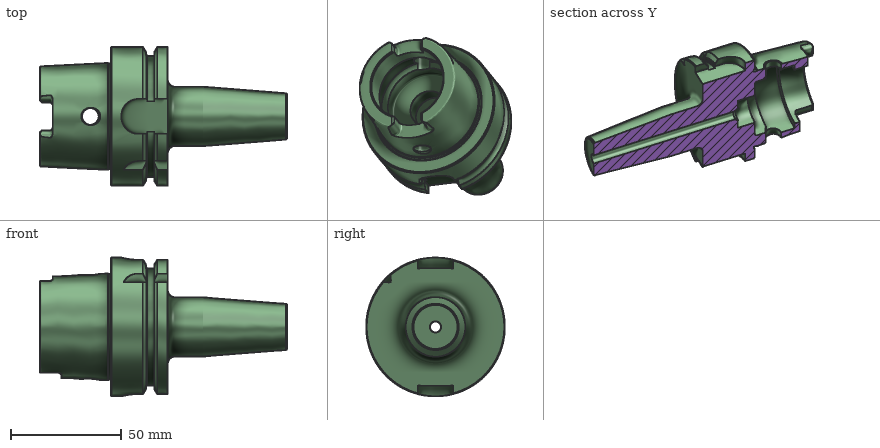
import cadquery as cq
import math


length = 112.0
flange_front = 32.0
flange_back = 58.0
taper_end = 29.8
nose_taper_start = 73.9

taper_front_r = 22.7
taper_slope = 0.05
taper_edge_fillet = 0.9
neck_r = 48.0 / 2
collar_end = 30.7
neck_start = 31.1
relief_depth = 0.6
relief_floor_r = 25.0
relief_mouth_r = 25.5

flange_r = 63.0 / 2
flange_front_chamfer = 0.6
flange_back_chamfer = 0.3
groove_center = 50.0
groove_mouth_half = 3.2
groove_floor_half = 1.8
groove_slope_r = 29.1
groove_floor_r = 27.4
groove_corner = 0.6

nose_r = 27.0 / 2
nose_fillet = 3.0
nose_taper_angle = 4.5
nose_tip_chamfer = 0.6

bore_r = 34.0 / 2
bore_mouth_chamfer = 0.6
bore_floor_fillet = 1.2
undercut_r = 40.0 / 2
undercut_start = 12.3
undercut_end = 25.2
bore_depth = 32.0
pilot_r = 16.9 / 2
pilot_end = 40.3
countersink_r = 8.0 / 2
through_r = 4.9 / 2

drive_half_width = 6.3
drive_round = 3.0
drive_shoulder_z = 20.8
drive_corner_r = 1.3
drive_edge_chamfer = 1.0
drive_depth_top = 5.8
drive_depth_bottom = 9.7

cross_x = 22.8
cross_r = 7.5 / 2
cross_chamfer = 0.6

key_center_x = 44.8
key_r = 8.0
key_floor_z = 26.5
notch_offset = 20.2


def upside_down(solid):
    return solid.mirror("XY")


def make_body():
    taper_end_r = taper_front_r + taper_slope * taper_end
    nose_tip_r = nose_r - (length - nose_taper_start) * math.tan(math.radians(nose_taper_angle))
    fillet_mid = nose_fillet * (1 - math.sqrt(0.5))
    relief_x = flange_front + relief_depth
    profile = (
        cq.Workplane("XY")
        .moveTo(0, 0)
        .lineTo(0, taper_front_r)
        .lineTo(taper_end, taper_end_r)
        .lineTo(collar_end, taper_end_r)
        .lineTo(neck_start, neck_r)
        .lineTo(relief_x, neck_r)
        .lineTo(relief_x, relief_floor_r)
        .lineTo(flange_front, relief_mouth_r)
        .lineTo(flange_front, flange_r - flange_front_chamfer)
        .lineTo(flange_front + flange_front_chamfer, flange_r)
        .lineTo(flange_back - flange_back_chamfer, flange_r)
        .lineTo(flange_back, flange_r - flange_back_chamfer)
        .lineTo(flange_back, nose_r + nose_fillet)
        .threePointArc(
            (flange_back + fillet_mid, nose_r + fillet_mid),
            (flange_back + nose_fillet, nose_r),
        )
        .lineTo(nose_taper_start, nose_r)
        .lineTo(length, nose_tip_r)
        .lineTo(length, 0)
        .close()
    )
    body = profile.revolve(360, (0, 0, 0), (1, 0, 0))
    body = body.faces("<X").edges().fillet(taper_edge_fillet)
    return body.faces(">X").edges().chamfer(nose_tip_chamfer)


def make_grip_groove():
    front = groove_center - groove_floor_half
    back = groove_center + groove_floor_half
    outside_r = flange_r + 1.1
    return (
        cq.Workplane("XY")
        .polyline([
            (groove_center - groove_mouth_half, outside_r),
            (groove_center - groove_mouth_half, flange_r),
            (front, groove_slope_r),
            (front, groove_floor_r + groove_corner),
            (front + groove_corner, groove_floor_r),
            (back, groove_floor_r),
            (back, groove_slope_r),
            (groove_center + groove_mouth_half, flange_r),
            (groove_center + groove_mouth_half, outside_r),
        ])
        .close()
        .revolve(360, (0, 0, 0), (1, 0, 0))
    )


def make_bore():
    fillet_mid = bore_floor_fillet * (1 - math.sqrt(0.5))
    countersink_depth = countersink_r - through_r
    profile = (
        cq.Workplane("XY")
        .moveTo(0, 0)
        .lineTo(0, bore_r + bore_mouth_chamfer)
        .lineTo(bore_mouth_chamfer, bore_r)
        .lineTo(undercut_start, bore_r)
        .lineTo(undercut_start, undercut_r)
        .lineTo(undercut_end, undercut_r)
        .lineTo(undercut_end, bore_r)
        .lineTo(bore_depth - bore_floor_fillet, bore_r)
        .threePointArc(
            (bore_depth - fillet_mid, bore_r - fillet_mid),
            (bore_depth, bore_r - bore_floor_fillet),
        )
        .lineTo(bore_depth, pilot_r)
        .lineTo(pilot_end, pilot_r)
        .lineTo(pilot_end, countersink_r)
        .lineTo(pilot_end + countersink_depth, through_r)
        .lineTo(length, through_r)
        .lineTo(length, 0)
        .close()
    )
    return profile.revolve(360, (0, 0, 0), (1, 0, 0))


def make_drive_slot(depth):
    """Slot open toward -X and +Z; its walls roll outward onto a flat shoulder."""
    round_mid = drive_round * (1 - math.sqrt(0.5))
    round_start_z = drive_shoulder_z - drive_round
    open_y = flange_r
    open_z = flange_r
    slot = (
        cq.Workplane("YZ")
        .moveTo(-drive_half_width, 0)
        .lineTo(drive_half_width, 0)
        .lineTo(drive_half_width, round_start_z)
        .threePointArc(
            (drive_half_width + round_mid, drive_shoulder_z - round_mid),
            (drive_half_width + drive_round, drive_shoulder_z),
        )
        .lineTo(open_y, drive_shoulder_z)
        .lineTo(open_y, open_z)
        .lineTo(-open_y, open_z)
        .lineTo(-open_y, drive_shoulder_z)
        .lineTo(-drive_half_width - drive_round, drive_shoulder_z)
        .threePointArc(
            (-drive_half_width - round_mid, drive_shoulder_z - round_mid),
            (-drive_half_width, round_start_z),
        )
        .close()
        .extrude(depth)
        .faces(">X").edges().fillet(drive_corner_r)
    )
    chamfer_y = drive_half_width + drive_edge_chamfer
    edge_chamfer = (
        cq.Workplane("XY")
        .polyline([
            (0, -chamfer_y),
            (drive_edge_chamfer, -drive_half_width),
            (drive_edge_chamfer, drive_half_width),
            (0, chamfer_y),
        ])
        .close()
        .extrude(drive_shoulder_z)
    )
    return slot.union(edge_chamfer)


def make_cross_hole():
    """Hole along Z with a chamfered edge where it leaves the taper on both sides."""
    surface_z = taper_front_r + taper_slope * cross_x
    cone_height = 2 * cross_chamfer
    flare = (
        cq.Workplane(cq.Plane((cross_x, 0, surface_z - cross_chamfer), xDir=(0, 1, 0), normal=(0, 0, 1)))
        .circle(cross_r)
        .workplane(offset=cone_height)
        .circle(cross_r + cone_height)
        .loft()
    )
    hole = cq.Workplane("XY", origin=(cross_x, 0, 0)).circle(cross_r).extrude(surface_z, both=True)
    return hole.union(flare).union(upside_down(flare))


def make_round_end_pocket(center_y, floor_z):
    """Pocket open toward +Z and +X with a half-round end toward -X."""
    height = flange_r - floor_z + 1.1
    run = flange_back - key_center_x + nose_fillet
    base = cq.Workplane("XY", origin=(key_center_x, center_y, floor_z))
    straight = base.center(run / 2, 0).rect(run, 2 * key_r).extrude(height)
    return base.circle(key_r).extrude(height).union(straight)


keyway = make_round_end_pocket(0, key_floor_z)
corner_notch = make_round_end_pocket(-notch_offset - key_r, notch_offset)

result = (
    make_body()
    .cut(make_grip_groove())
    .cut(make_bore())
    .cut(make_drive_slot(drive_depth_top))
    .cut(upside_down(make_drive_slot(drive_depth_bottom)))
    .cut(make_cross_hole())
    .cut(keyway)
    .cut(upside_down(keyway))
    .cut(corner_notch)
)